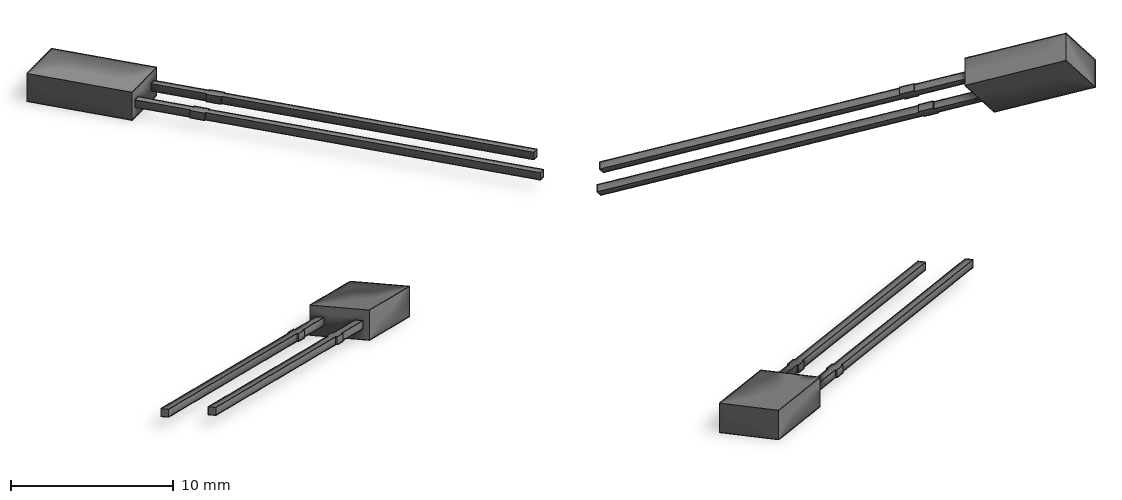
import cadquery as cq


body_length = 7.0
body_width = 3.9
body_height = 1.9

lead_thickness = 0.5
lead_pitch = 2.54
long_lead_length = 27.0
lead_length_difference = 1.5
short_lead_length = long_lead_length - lead_length_difference

stop_offset = 3.7
stop_length = 1.0
stop_width = 0.7


def bar(start_x, length, center_y, width, height):
    """Rectangular bar running along +X, centred on center_y and on Z = 0."""
    return (
        cq.Workplane("XY")
        .box(length, width, height, centered=(False, True, True))
        .translate((start_x, center_y, 0))
    )


def lead(length, center_y):
    """Lead with its stop, starting at the +X face of the body."""
    wire = bar(body_length, length, center_y, lead_thickness, lead_thickness)
    stop = bar(body_length + stop_offset, stop_length, center_y, stop_width, lead_thickness)
    return wire.union(stop)


body = bar(0, body_length, 0, body_width, body_height)
long_lead = lead(long_lead_length, -lead_pitch / 2)
short_lead = lead(short_lead_length, lead_pitch / 2)

result = body.union(long_lead).union(short_lead)